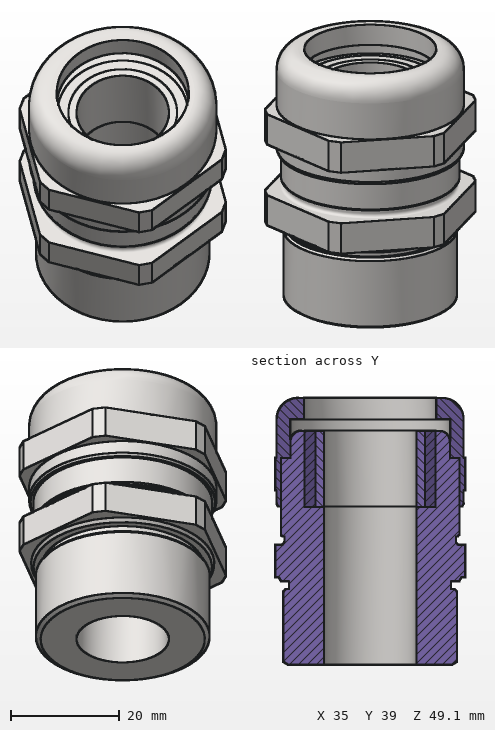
import cadquery as cq
import math


HEX_FLATS = 35.0
HEX_CORNERS = 38.99
HEX_HEIGHT = 6.0

THREAD_R = 16.0
THREAD_BOTTOM_CHAMFER_W = 0.9
THREAD_BOTTOM_CHAMFER_H = 0.55
THREAD_TOP_CHAMFER = 0.5
THREAD_TOP_Z = 14.0

NECK_R = 14.95
COLLAR_BOTTOM_Z = 15.35
COLLAR_BOTTOM_R = 16.4
COLLAR_TOP_R = 16.85
BODY_HEX_Z = 16.1
BODY_HEX_TOP_Z = BODY_HEX_Z + HEX_HEIGHT

GROOVE_R = 15.8
GROOVE_FILLET = 0.7
CAP_THREAD_R = 16.45
CAP_THREAD_BOTTOM_Z = 23.6
CAP_THREAD_CHAMFER = 0.3
SLEEVE_R = 14.7
SLEEVE_TOP_FILLET = 2.0
SLEEVE_TOP_Z = 43.1

CAP_R = 17.25
CAP_TOP_Z = 49.14
CAP_TOP_FILLET = 4.0
CAP_BOTTOM_Z = 29.1
CAP_CHAMFER_W = 0.3
CAP_CHAMFER_H = 0.55
CAP_HEX_Z = 32.1
CAP_HEX_TOP_Z = CAP_HEX_Z + HEX_HEIGHT
CAP_LIP_R = 12.15
CAP_LIP_HEIGHT = 4.0

BORE_R = 8.5
INNER_SEAL_R = 10.0
OUTER_SEAL_R = 12.0
SEAL_BOTTOM_Z = CAP_BOTTOM_Z

CAP_THREAD_TOP_Z = CAP_HEX_TOP_Z


def revolve_about_z(profile):
    """Full revolution about Z of a closed profile drawn as (radius, z)."""
    return profile.close().revolve(360, (0, 0, 0), (0, 1, 0))


def profile_from(radius, z):
    return cq.Workplane("XZ").moveTo(radius, z)


def cylinder(radius, z_bottom, z_top):
    return cq.Workplane("XY", origin=(0, 0, z_bottom)).circle(radius).extrude(z_top - z_bottom)


def trimmed_hexagon(z_bottom):
    """Hexagonal prism with corners on Y, each corner cut off by a flat."""
    base = cq.Workplane("XY", origin=(0, 0, z_bottom))
    sharp_corners = HEX_FLATS / math.cos(math.radians(30))
    hexagon = base.polygon(6, sharp_corners).extrude(HEX_HEIGHT)
    hexagon = hexagon.rotate((0, 0, 0), (0, 0, 1), 30)
    corner_flats = base.polygon(6, HEX_CORNERS / math.cos(math.radians(30))).extrude(HEX_HEIGHT)
    return hexagon.intersect(corner_flats)


def make_body():
    lower = revolve_about_z(
        profile_from(0, 0)
        .lineTo(THREAD_R - THREAD_BOTTOM_CHAMFER_W, 0)
        .lineTo(THREAD_R, THREAD_BOTTOM_CHAMFER_H)
        .lineTo(THREAD_R, THREAD_TOP_Z - THREAD_TOP_CHAMFER)
        .lineTo(THREAD_R - THREAD_TOP_CHAMFER, THREAD_TOP_Z)
        .lineTo(NECK_R, THREAD_TOP_Z)
        .lineTo(NECK_R, COLLAR_BOTTOM_Z)
        .lineTo(COLLAR_BOTTOM_R, COLLAR_BOTTOM_Z)
        .lineTo(COLLAR_TOP_R, BODY_HEX_Z)
        .lineTo(0, BODY_HEX_Z)
    )
    upper = revolve_about_z(
        profile_from(0, BODY_HEX_TOP_Z)
        .lineTo(GROOVE_R + GROOVE_FILLET, BODY_HEX_TOP_Z)
        .radiusArc((GROOVE_R, BODY_HEX_TOP_Z + GROOVE_FILLET), GROOVE_FILLET)
        .lineTo(GROOVE_R, CAP_THREAD_BOTTOM_Z)
        .lineTo(CAP_THREAD_R - CAP_THREAD_CHAMFER, CAP_THREAD_BOTTOM_Z)
        .lineTo(CAP_THREAD_R, CAP_THREAD_BOTTOM_Z + CAP_THREAD_CHAMFER)
        .lineTo(CAP_THREAD_R, CAP_THREAD_TOP_Z)
        .lineTo(SLEEVE_R, CAP_THREAD_TOP_Z)
        .lineTo(SLEEVE_R, SLEEVE_TOP_Z - SLEEVE_TOP_FILLET)
        .radiusArc((SLEEVE_R - SLEEVE_TOP_FILLET, SLEEVE_TOP_Z), -SLEEVE_TOP_FILLET)
        .lineTo(0, SLEEVE_TOP_Z)
    )
    seal_seat = cylinder(OUTER_SEAL_R, SEAL_BOTTOM_Z, SLEEVE_TOP_Z)
    bore = cylinder(BORE_R, 0, SLEEVE_TOP_Z)
    return lower.union(trimmed_hexagon(BODY_HEX_Z)).union(upper).cut(seal_seat).cut(bore)


def make_cap_nut():
    shell = revolve_about_z(
        profile_from(0, CAP_BOTTOM_Z)
        .lineTo(CAP_R - CAP_CHAMFER_W, CAP_BOTTOM_Z)
        .lineTo(CAP_R, CAP_BOTTOM_Z + CAP_CHAMFER_H)
        .lineTo(CAP_R, CAP_TOP_Z - CAP_TOP_FILLET)
        .radiusArc((CAP_R - CAP_TOP_FILLET, CAP_TOP_Z), -CAP_TOP_FILLET)
        .lineTo(0, CAP_TOP_Z)
    )
    thread_hole = cylinder(CAP_THREAD_R, CAP_BOTTOM_Z, CAP_THREAD_TOP_Z)
    sleeve_cavity = cylinder(SLEEVE_R, CAP_BOTTOM_Z, CAP_TOP_Z - CAP_LIP_HEIGHT)
    mouth = cylinder(CAP_LIP_R, CAP_BOTTOM_Z, CAP_TOP_Z)
    return shell.union(trimmed_hexagon(CAP_HEX_Z)).cut(thread_hole).cut(sleeve_cavity).cut(mouth)


def make_seal_ring(inner_radius, outer_radius):
    ring = cylinder(outer_radius, SEAL_BOTTOM_Z, SLEEVE_TOP_Z)
    return ring.cut(cylinder(inner_radius, SEAL_BOTTOM_Z, SLEEVE_TOP_Z))


body = make_body()
cap_nut = make_cap_nut()
outer_seal = make_seal_ring(INNER_SEAL_R, OUTER_SEAL_R)
inner_seal = make_seal_ring(BORE_R, INNER_SEAL_R)

result = cq.Compound.makeCompound([
    body.solids().val(),
    cap_nut.solids().val(),
    outer_seal.val(),
    inner_seal.val(),
])